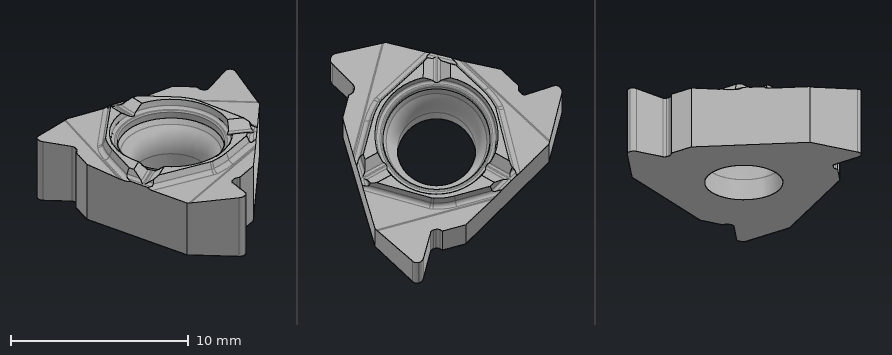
import cadquery as cq
import math

TEETH = 3
PITCH = 360 / TEETH

TOP_Z = 4.1
FLOOR_Z = 3.5
SHELF_Z = 3.61

SIDE_DIST = 4.78
FLANK_DIST = 6.22
TIP_DIST = 6.9
TIP_WIDTH = 0.43
TIP_RADIUS = 0.35
NOTCH_Y = -5.2
PAD_Y = -5.4
NOTCH_FLAT = 0.4
NOTCH_FLANK_RADIUS = 0.22
NOTCH_RAMP_RADIUS = 0.29
FLANK_ANGLE = 60

RAKE_Y = -4.3
RAKE_ANGLE = 10.5
RAKE_BLEND = 0.033

BREAKER_RADIUS = 3.71
BREAKER_LINE_NORMAL = 238
BREAKER_LINE_DIST = 3.62
BREAKER_TAPER = 23
BREAKER_CORNER_RADIUS = 0.65
BREAKER_FOOT_RADIUS = 0.33
SHELF_WALL_DIST = 4.26
SHELF_FOOT_RADIUS = 0.22

GROOVE_ANGLE = 194
GROOVE_HALF_WIDTH = 0.76
GROOVE_FLAT = 0.08
GROOVE_RADIUS = 0.26
GROOVE_SLOPE = 37

BORE_RADIUS = 4.4 / 2
BORE_Z = 1.26
THROAT_RADIUS = 2.83
THROAT_Z = 2.82
NECK_RADIUS = 3.02
NECK_Z = 3.12
LEDGE_Z = 3.6
LIP_RADIUS = 0.08
MOUTH_RADIUS = 3.46
MOUTH_TAPER = 15
MOUTH_FOOT_RADIUS = 0.2

FOOT_REACH = 6.56
FOOT_MARGIN = 0.13
REACH = 9.18


def tan(degrees):
    return math.tan(math.radians(degrees))


def sin(degrees):
    return math.sin(math.radians(degrees))


def cos(degrees):
    return math.cos(math.radians(degrees))


def polar(radius, degrees):
    return (radius * cos(degrees), radius * sin(degrees))


def line_crossing(normal_a, dist_a, normal_b, dist_b):
    """Crossing of two lines, each given by its normal direction and distance from the axis."""
    det = sin(normal_b - normal_a)
    x = (dist_a * sin(normal_b) - dist_b * sin(normal_a)) / det
    y = (dist_b * cos(normal_a) - dist_a * cos(normal_b)) / det
    return (x, y)


def turned(point, degrees):
    x, y = point
    return (x * cos(degrees) - y * sin(degrees), x * sin(degrees) + y * cos(degrees))


def repeated(solid):
    """The solid together with its copies around the hole axis."""
    copies = solid
    for i in range(1, TEETH):
        copies = copies.union(solid.rotate((0, 0, 0), (0, 0, 1), i * PITCH))
    return copies


def tooth_points():
    """Corners of the outline from one body side, around the -Y tooth, to the next side."""
    flank_normal = 180 + 90 - FLANK_ANGLE
    side_corner = line_crossing(180, SIDE_DIST, flank_normal, FLANK_DIST)
    tip_left = line_crossing(flank_normal, FLANK_DIST, 270, TIP_DIST)
    tip_right = (tip_left[0] + TIP_WIDTH, -TIP_DIST)
    notch_left = (tip_right[0] + (NOTCH_Y + TIP_DIST) / tan(FLANK_ANGLE), NOTCH_Y)
    notch_right = (notch_left[0] + NOTCH_FLAT, NOTCH_Y)
    pad_left = (notch_right[0] + NOTCH_Y - PAD_Y, PAD_Y)
    pad_right = line_crossing(270, -PAD_Y, 180 + PITCH, SIDE_DIST)
    return [side_corner, tip_left, tip_right, notch_left, notch_right, pad_left, pad_right]


def round_corner(prism, point, radius):
    """Round the vertical edge that stands on the given outline corner and its repeats."""
    for i in range(TEETH):
        x, y = turned(point, i * PITCH)
        edge = cq.selectors.NearestToPointSelector((x, y, TOP_Z / 2))
        prism = prism.edges("|Z").edges(edge).fillet(radius)
    return prism


def outline_prism():
    tooth = tooth_points()
    outline = [turned(point, i * PITCH) for i in range(TEETH) for point in tooth]
    prism = cq.Workplane("XY").polyline(outline).close().extrude(TOP_Z)
    _, tip_left, tip_right, notch_left, notch_right, _, _ = tooth
    prism = round_corner(prism, tip_left, TIP_RADIUS)
    prism = round_corner(prism, tip_right, TIP_RADIUS)
    prism = round_corner(prism, notch_left, NOTCH_FLANK_RADIUS)
    prism = round_corner(prism, notch_right, NOTCH_RAMP_RADIUS)
    return prism


def rake_wedge():
    """Material over the -Y tooth, bounded above by its rake face."""
    outer_z = FLOOR_Z + (REACH + RAKE_Y) * tan(RAKE_ANGLE)
    blend_start = (RAKE_Y + RAKE_BLEND, FLOOR_Z)
    blend_end = (RAKE_Y - RAKE_BLEND * cos(RAKE_ANGLE), FLOOR_Z + RAKE_BLEND * sin(RAKE_ANGLE))
    blend_angle = RAKE_ANGLE / 2
    blend_radius = RAKE_BLEND / tan(blend_angle)
    blend_middle = (
        blend_start[0] - blend_radius * sin(blend_angle),
        FLOOR_Z + blend_radius * (1 - cos(blend_angle)),
    )
    return (
        cq.Workplane("YZ", origin=(-REACH, 0, 0))
        .moveTo(blend_start[0], 0)
        .lineTo(*blend_start)
        .threePointArc(blend_middle, blend_end)
        .lineTo(-REACH, outer_z)
        .lineTo(-REACH, 0)
        .close()
        .extrude(2 * REACH)
    )


def tapered_boss():
    """Chip breaker walls: per tooth a straight wall, an arc around the hole and an inclined wall."""
    height = TOP_Z - FLOOR_Z
    spread = height * tan(BREAKER_TAPER)
    radius = BREAKER_RADIUS + spread
    line_dist = BREAKER_LINE_DIST + spread
    arc_start = BREAKER_LINE_NORMAL + math.degrees(math.acos(line_dist / radius))
    corner = line_crossing(270, radius, BREAKER_LINE_NORMAL + PITCH, line_dist)

    wire = cq.Workplane("XY", origin=(0, 0, FLOOR_Z)).moveTo(*turned(corner, -PITCH))
    for i in range(TEETH):
        turn = i * PITCH
        wire = (
            wire.lineTo(*polar(radius, arc_start + turn))
            .threePointArc(polar(radius, (arc_start + 270) / 2 + turn), polar(radius, 270 + turn))
        )
        if i < TEETH - 1:
            wire = wire.lineTo(*turned(corner, turn))
    boss = wire.close().extrude(height, taper=BREAKER_TAPER)
    for i in range(TEETH):
        x, y = polar(radius - spread / 2, arc_start + i * PITCH)
        kink = cq.selectors.NearestToPointSelector((x, y, FLOOR_Z + height / 2))
        boss = boss.edges(kink).fillet(BREAKER_CORNER_RADIUS)
    return boss


def chip_breaker():
    """Tapered boss on a wide floor slab, with a rounded foot."""
    floor = cq.Workplane("XY").rect(2 * REACH, 2 * REACH).extrude(FLOOR_Z)
    floor_edges = cq.selectors.BoxSelector(
        (-FOOT_REACH, -FOOT_REACH, FLOOR_Z - FOOT_MARGIN),
        (FOOT_REACH, FOOT_REACH, FLOOR_Z + FOOT_MARGIN),
    )
    return floor.union(tapered_boss()).edges(floor_edges).fillet(BREAKER_FOOT_RADIUS)


def shelf_cut():
    """Space above the shelf on the -X side."""
    wall_run = (TOP_Z - SHELF_Z) * tan(BREAKER_TAPER)
    wall_foot = -SHELF_WALL_DIST - wall_run
    tangent = SHELF_FOOT_RADIUS * tan(45 - BREAKER_TAPER / 2)
    arc_top = (wall_foot + tangent * sin(BREAKER_TAPER), SHELF_Z + tangent * cos(BREAKER_TAPER))
    return (
        cq.Workplane("XZ", origin=(0, REACH, 0))
        .moveTo(-REACH, SHELF_Z)
        .lineTo(wall_foot - tangent, SHELF_Z)
        .tangentArcPoint(arc_top, relative=False)
        .lineTo(-SHELF_WALL_DIST, TOP_Z)
        .lineTo(-REACH, TOP_Z)
        .close()
        .extrude(2 * REACH)
    )


def groove_cut():
    """V-groove with a rounded, narrow flat bottom, running outward from the hole axis."""
    flat_x = GROOVE_FLAT / 2
    arc_x = flat_x + GROOVE_RADIUS * sin(GROOVE_SLOPE)
    arc_z = SHELF_Z + GROOVE_RADIUS * (1 - cos(GROOVE_SLOPE))
    return (
        cq.Workplane("YZ")
        .moveTo(-GROOVE_HALF_WIDTH, TOP_Z)
        .lineTo(-arc_x, arc_z)
        .tangentArcPoint((-flat_x, SHELF_Z), relative=False)
        .lineTo(flat_x, SHELF_Z)
        .tangentArcPoint((arc_x, arc_z), relative=False)
        .lineTo(GROOVE_HALF_WIDTH, TOP_Z)
        .close()
        .extrude(REACH)
        .rotate((0, 0, 0), (0, 0, 1), GROOVE_ANGLE)
    )


def hole_cut():
    """Bore, curved screw seat, neck, ledge and tapered mouth."""
    seat_run = THROAT_RADIUS - BORE_RADIUS
    seat_rise = THROAT_Z - BORE_Z
    seat_radius = (seat_run**2 + seat_rise**2) / (2 * seat_run)
    half_turn = math.degrees(math.asin(seat_rise / seat_radius)) / 2
    seat_middle = (
        BORE_RADIUS + seat_radius * (1 - cos(half_turn)),
        BORE_Z + seat_radius * sin(half_turn),
    )
    lip_middle = (
        NECK_RADIUS + LIP_RADIUS * (1 - cos(45)),
        LEDGE_Z - LIP_RADIUS * (1 - sin(45)),
    )
    mouth_foot = MOUTH_RADIUS - (TOP_Z - LEDGE_Z) * tan(MOUTH_TAPER)
    foot_tangent = MOUTH_FOOT_RADIUS * tan(45 - MOUTH_TAPER / 2)
    foot_top = (
        mouth_foot + foot_tangent * sin(MOUTH_TAPER),
        LEDGE_Z + foot_tangent * cos(MOUTH_TAPER),
    )
    return (
        cq.Workplane("XZ")
        .lineTo(BORE_RADIUS, 0)
        .lineTo(BORE_RADIUS, BORE_Z)
        .threePointArc(seat_middle, (THROAT_RADIUS, THROAT_Z))
        .lineTo(NECK_RADIUS, NECK_Z)
        .lineTo(NECK_RADIUS, LEDGE_Z - LIP_RADIUS)
        .threePointArc(lip_middle, (NECK_RADIUS + LIP_RADIUS, LEDGE_Z))
        .lineTo(mouth_foot - foot_tangent, LEDGE_Z)
        .tangentArcPoint(foot_top, relative=False)
        .lineTo(MOUTH_RADIUS, TOP_Z)
        .lineTo(0, TOP_Z)
        .close()
        .revolve(360, (0, 0, 0), (0, 1, 0))
    )


raised = chip_breaker().cut(repeated(shelf_cut())).cut(repeated(groove_cut()))
result = raised.union(repeated(rake_wedge())).intersect(outline_prism()).cut(hole_cut())